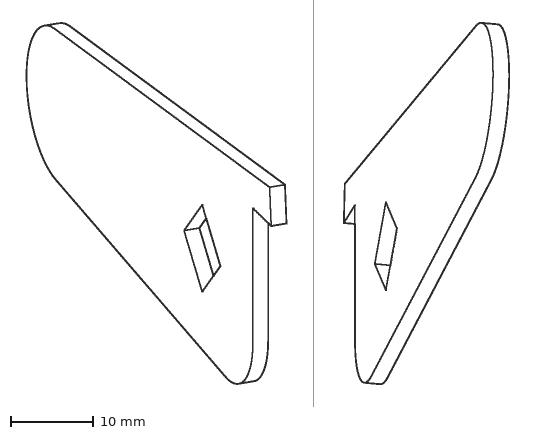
import cadquery as cq
import math

thickness = 2.0
length = 78.0
end_radius = 10.0
top_slope = math.radians(5.8)
bottom_slope = math.radians(4.3)
shoulder_x = 62.2
corner_radius = 8.0
lip_bottom_z = 11.9
hole_x = 46.0
hole_diagonal = 11.55

lip_corner_x = length - end_radius


def top_edge_z(x):
    """Height of the sloping top edge, tangent to the round end."""
    return end_radius / math.cos(top_slope) + x * math.tan(top_slope)


def bottom_edge_z(x):
    """Height of the sloping bottom edge, tangent to the round end."""
    return -end_radius / math.cos(bottom_slope) - x * math.tan(bottom_slope)


def round_end_point(angle):
    """Point on the round end at an angle from +X."""
    return end_radius * math.cos(angle), end_radius * math.sin(angle)


lip_height = top_edge_z(lip_corner_x) - lip_bottom_z
lip_end_length = lip_height * math.cos(top_slope)
lip_tip = (
    lip_corner_x - lip_end_length * math.sin(top_slope),
    lip_bottom_z + lip_end_length * math.cos(top_slope),
)


def make_plate():
    """Tapered plate with a lip at the top and a rounded lower corner."""
    plate = (
        cq.Workplane("XZ")
        .moveTo(*round_end_point(math.pi / 2 + top_slope))
        .lineTo(*lip_tip)
        .lineTo(lip_corner_x, lip_bottom_z)
        .lineTo(shoulder_x, lip_bottom_z)
        .lineTo(shoulder_x, bottom_edge_z(shoulder_x))
        .lineTo(*round_end_point(-math.pi / 2 - bottom_slope))
        .threePointArc((-end_radius, 0), round_end_point(math.pi / 2 + top_slope))
        .close()
        .extrude(thickness / 2, both=True)
    )
    return plate.edges("|Y").edges("<Z").fillet(corner_radius)


def make_square_hole():
    """Square through hole standing on one corner."""
    side = hole_diagonal / math.sqrt(2)
    return (
        cq.Workplane("XZ")
        .center(hole_x, 0)
        .transformed(rotate=(0, 0, 45))
        .rect(side, side)
        .extrude(thickness, both=True)
    )


result = make_plate().cut(make_square_hole())